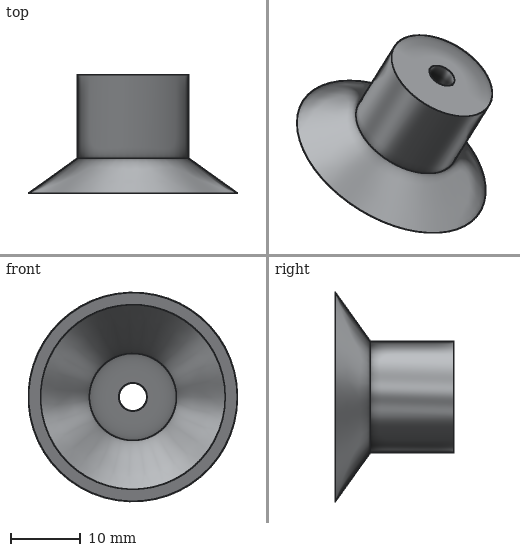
import cadquery as cq

rim_diameter = 30.0
stem_diameter = 16.0
bore_diameter = 4.0
total_length = 17.0
cup_depth = 5.0
mouth_diameter = 26.5

floor_diameter = mouth_diameter - (rim_diameter - stem_diameter)

half_section = [
    (bore_diameter / 2, cup_depth),
    (floor_diameter / 2, cup_depth),
    (mouth_diameter / 2, 0),
    (rim_diameter / 2, 0),
    (stem_diameter / 2, cup_depth),
    (stem_diameter / 2, total_length),
    (bore_diameter / 2, total_length),
]

result = cq.Workplane("XY").polyline(half_section).close().revolve(360, (0, 0, 0), (0, 1, 0))